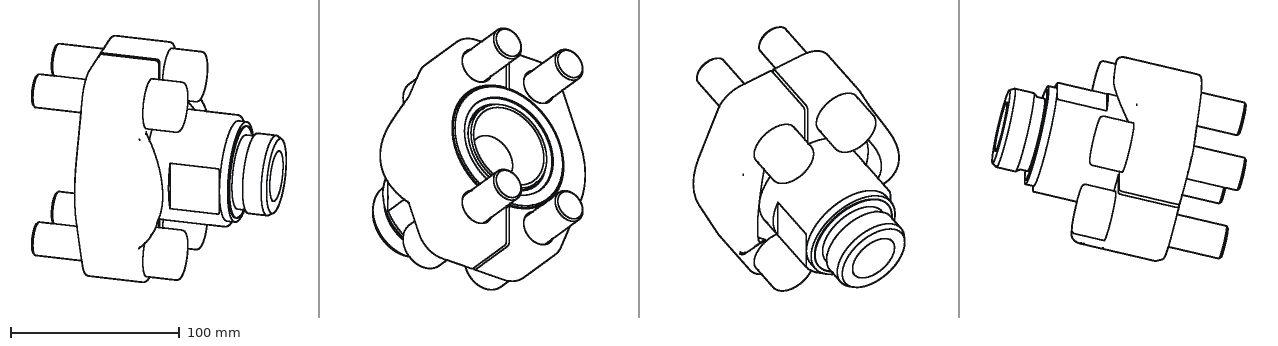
import cadquery as cq
import math


bolt_y = 22.2
bolt_z = 48.5
shank_diameter = 20.0
shank_tip_x = -32.0
shank_tip_chamfer = 1.1
screw_head_diameter = 30.0
screw_head_height = 20.0
screw_head_fillet = 2.0
screw_hole_diameter = 21.0

flange_front_x = 1.0
flange_rear_x = 38.1
flange_corner_radius = 18.55
flange_side_radius = 56.91
flange_edge_fillet = 2.1
half_gap = 2.0
head_pocket_diameter = 80.0
mouth_chamfer = 0.3
pocket_floor_chamfer = 0.9

ear_axis_x = flange_front_x
ear_outer_y = 58.3
ear_radius = 53.0
ear_draft = 7.0
ear_recess_diameter = 88.4
ear_root_fillet = 1.4
inner_edge_reach = 41.2

head_diameter = 79.3
head_thickness = 12.6
head_front_chamfer = 0.9
head_rear_chamfer = 0.3
head_root_fillet = 0.7
body_diameter = 67.0
body_end_x = 83.3
body_end_fillet = 1.0
flat_start_x = 52.9
width_across_flats = 60.0
collar_diameter = 60.0
collar_end_x = 88.2
neck_diameter = 44.3
neck_root_radius = 1.3
thread_start_x = 92.8
thread_diameter = 48.0
thread_shoulder_angle = math.radians(35)
thread_tip_diameter = 44.6
thread_tip_length = 2.8
adapter_end_x = 110.1
bore_diameter = 30.0
mouth_diameter = 50.6
mouth_depth = 17.8

o_ring_section = 3.5
groove_outer_diameter = 64.0
groove_inner_diameter = 54.5
seal_diameter = 55.0
seal_thickness = 3.0
seal_overhang = 0.5


def disc(diameter, start_x, end_x):
    """Solid cylinder about the X axis between two x positions."""
    return cq.Workplane("YZ", origin=(start_x, 0, 0)).circle(diameter / 2).extrude(end_x - start_x)


def make_screw(y, z):
    """Cap screw along X, with its head against the rear of the flange."""
    shank = disc(shank_diameter, shank_tip_x, flange_rear_x).faces("<X").chamfer(shank_tip_chamfer)
    head = disc(screw_head_diameter, flange_rear_x, flange_rear_x + screw_head_height)
    head = head.faces(">X").edges().fillet(screw_head_fillet)
    return shank.union(head).translate((0, y, z))


def flange_outline():
    """Outline of both halves: side arcs on the main axis, corner arcs on the bolts, tangent lines between."""
    top_z = bolt_z + flange_corner_radius
    bolt_angle = math.atan2(bolt_z, bolt_y)
    radius_step = flange_side_radius - flange_corner_radius
    tangent_angle = bolt_angle - math.acos(radius_step / math.hypot(bolt_y, bolt_z))
    corner_angle = (tangent_angle + math.pi / 2) / 2

    def side_point(angle):
        return flange_side_radius * math.cos(angle), flange_side_radius * math.sin(angle)

    def corner_point(angle):
        return (
            bolt_y + flange_corner_radius * math.cos(angle),
            bolt_z + flange_corner_radius * math.sin(angle),
        )

    def mirrored(point, y_sign, z_sign):
        return y_sign * point[0], z_sign * point[1]

    side_end = side_point(tangent_angle)
    corner_start = corner_point(tangent_angle)
    corner_middle = corner_point(corner_angle)
    return (
        cq.Workplane("YZ", origin=(flange_front_x, 0, 0))
        .moveTo(*mirrored(side_end, 1, -1))
        .threePointArc((flange_side_radius, 0), side_end)
        .lineTo(*corner_start)
        .threePointArc(corner_middle, (bolt_y, top_z))
        .lineTo(-bolt_y, top_z)
        .threePointArc(mirrored(corner_middle, -1, 1), mirrored(corner_start, -1, 1))
        .lineTo(*mirrored(side_end, -1, 1))
        .threePointArc((-flange_side_radius, 0), mirrored(side_end, -1, -1))
        .lineTo(*mirrored(corner_start, -1, -1))
        .threePointArc(mirrored(corner_middle, -1, -1), (-bolt_y, -top_z))
        .lineTo(bolt_y, -top_z)
        .threePointArc(mirrored(corner_middle, 1, -1), mirrored(corner_start, 1, -1))
        .close()
    )


def ear_cone(side):
    """Tapered disc about a Y-parallel axis, from beyond the outer wall on one side (+1 or -1) to y = 0."""
    outline = cq.Workplane("XZ", origin=(ear_axis_x, ear_outer_y, 0)).circle(ear_radius)
    ear = outline.extrude(ear_outer_y, taper=ear_draft)
    if side < 0:
        ear = ear.mirror("XZ")
    return ear


def make_flange_blank():
    """Both halves as one block with rounded ears, before it is split and bored."""
    ear_end_x = ear_axis_x + ear_radius
    prism = flange_outline().extrude(ear_end_x - flange_front_x)
    envelope = cq.Workplane("XY").box(
        flange_rear_x, 3 * flange_side_radius, 3 * flange_side_radius, centered=(False, True, True)
    )
    for side in (1, -1):
        envelope = envelope.union(ear_cone(side))
    recess = disc(ear_recess_diameter, flange_rear_x, ear_end_x)
    blank = prism.intersect(envelope).cut(recess)
    blank = blank.edges("%HYPERBOLA").fillet(ear_root_fillet)
    recess_edges = cq.selectors.BoxSelector(
        (flange_front_x, -inner_edge_reach, -inner_edge_reach), (ear_end_x, inner_edge_reach, inner_edge_reach)
    )
    outer_edges = cq.selectors.StringSyntaxSelector("not |X") - recess_edges
    return blank.edges(outer_edges).fillet(flange_edge_fillet)


def flange_bore():
    """Stepped cutter for the adapter: chamfered head pocket, then a bore with a bevelled edge."""
    pocket_r = head_pocket_diameter / 2
    bore_r = body_diameter / 2
    bore_end_x = ear_axis_x + ear_radius
    return (
        cq.Workplane("XY")
        .moveTo(flange_front_x, 0)
        .lineTo(flange_front_x, pocket_r + mouth_chamfer)
        .lineTo(flange_front_x + mouth_chamfer, pocket_r)
        .lineTo(head_thickness, pocket_r)
        .lineTo(head_thickness, bore_r + pocket_floor_chamfer)
        .lineTo(head_thickness + pocket_floor_chamfer, bore_r)
        .lineTo(bore_end_x, bore_r)
        .lineTo(bore_end_x, 0)
        .close()
        .revolve(360, (0, 0, 0), (1, 0, 0))
    )


def screw_hole():
    """Cutter for one screw hole along X, chamfered at the front face."""
    hole_r = screw_hole_diameter / 2
    return (
        cq.Workplane("XY")
        .moveTo(flange_front_x, 0)
        .lineTo(flange_front_x, hole_r + mouth_chamfer)
        .lineTo(flange_front_x + mouth_chamfer, hole_r)
        .lineTo(flange_rear_x, hole_r)
        .lineTo(flange_rear_x, 0)
        .close()
        .revolve(360, (0, 0, 0), (1, 0, 0))
    )


def make_flange_half(blank, side):
    """One half of the flange, on the +Y (side = 1) or -Y (side = -1) side of the gap."""
    reach = 3 * flange_side_radius
    keep = cq.Workplane("XY").box(reach, reach, reach)
    keep = keep.translate((0, side * (reach + half_gap) / 2, 0))
    half = blank.intersect(keep).cut(flange_bore())
    for z in (bolt_z, -bolt_z):
        half = half.cut(screw_hole().translate((0, side * bolt_y, z)))
    return half


def make_adapter():
    """Turned adapter: flanged head, body with two wrench flats, collar, neck and threaded end."""
    head_r = head_diameter / 2
    body_r = body_diameter / 2
    collar_r = collar_diameter / 2
    neck_r = neck_diameter / 2
    thread_r = thread_diameter / 2
    bore_r = bore_diameter / 2
    root_end_x = thread_start_x + neck_root_radius * math.sin(thread_shoulder_angle)
    root_end_r = neck_r + neck_root_radius * (1 - math.cos(thread_shoulder_angle))
    thread_full_x = root_end_x + (thread_r - root_end_r) / math.tan(thread_shoulder_angle)
    profile = (
        cq.Workplane("XY")
        .moveTo(0, mouth_diameter / 2)
        .lineTo(0, head_r - head_front_chamfer)
        .lineTo(head_front_chamfer, head_r)
        .lineTo(head_thickness - head_rear_chamfer, head_r)
        .lineTo(head_thickness, head_r - head_rear_chamfer)
        .lineTo(head_thickness, body_r + head_root_fillet)
        .radiusArc((head_thickness + head_root_fillet, body_r), -head_root_fillet)
        .lineTo(body_end_x - body_end_fillet, body_r)
        .radiusArc((body_end_x, body_r - body_end_fillet), body_end_fillet)
        .lineTo(body_end_x, collar_r)
        .lineTo(collar_end_x, collar_r)
        .lineTo(collar_end_x, neck_r)
        .lineTo(thread_start_x, neck_r)
        .radiusArc((root_end_x, root_end_r), -neck_root_radius)
        .lineTo(thread_full_x, thread_r)
        .lineTo(adapter_end_x - thread_tip_length, thread_r)
        .lineTo(adapter_end_x, thread_tip_diameter / 2)
        .lineTo(adapter_end_x, bore_r)
        .lineTo(mouth_depth, bore_r)
        .close()
    )
    adapter = profile.revolve(360, (0, 0, 0), (1, 0, 0))
    for side in (1, -1):
        flat = cq.Workplane("XY").box(
            body_end_x - flat_start_x, body_r, body_diameter, centered=(False, True, True)
        )
        flat_middle_y = width_across_flats / 2 + body_r / 2
        adapter = adapter.cut(flat.translate((flat_start_x, side * flat_middle_y, 0)))
    groove = disc(groove_outer_diameter, 0, o_ring_section).cut(disc(groove_inner_diameter, 0, o_ring_section))
    return adapter.cut(groove).cut(make_seal())


def make_o_ring():
    """Ring of round section, lying against the outer wall of its groove and flush with the sealing face."""
    centre_radius = (groove_outer_diameter - o_ring_section) / 2
    section = cq.Workplane("XY").center(o_ring_section / 2, centre_radius).circle(o_ring_section / 2)
    return section.revolve(360, (-o_ring_section / 2, -centre_radius, 0), (o_ring_section / 2, -centre_radius, 0))


def make_seal():
    """Flat ring around the neck, set into the collar face and standing slightly out of it."""
    end_x = collar_end_x + seal_overhang
    start_x = end_x - seal_thickness
    return disc(seal_diameter, start_x, end_x).cut(disc(neck_diameter, start_x, end_x))


adapter = make_adapter()
o_ring = make_o_ring()
seal = make_seal()
flange_blank = make_flange_blank()
flange_halves = [make_flange_half(flange_blank, side) for side in (1, -1)]
screws = [make_screw(y, z) for y in (bolt_y, -bolt_y) for z in (bolt_z, -bolt_z)]

result = cq.Compound.makeCompound(
    [adapter.val(), o_ring.val(), seal.val()]
    + [half.val() for half in flange_halves]
    + [screw.val() for screw in screws]
)